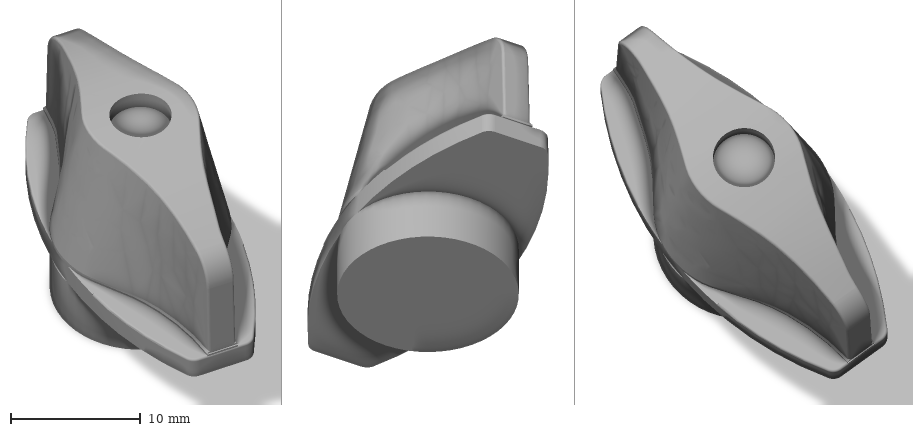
import cadquery as cq
import math

total_length = 30
total_height = 18.5
half_length = total_length / 2

boss_diameter = 14.0
boss_radius = boss_diameter / 2
boss_height = 4.5

flange_thickness = 1.8
flange_top = boss_height + flange_thickness
flange_half_width = 6.9
flange_end_half_width = 2.55
flange_corner_radius = 1.02
flange_edge_radius = 0.18
flange_square_edge_length = 10.08

plinth_height = 0.18
plinth_top = flange_top + plinth_height
plinth_end_half_width = 1.3
plinth_nose_angle = 39
root_height = 0.18
foot_height = plinth_top + root_height
foot_nose_angle = 40
crown_half_width = 4.4
crown_nose_radius = 5.7
crown_nose_angle = 25.8
blade_end_half_width = 1.15
blade_foot_half_length = 14.9
blade_shoulder_half_length = 14.58
crown_radius = 31.5
shoulder_radius = 3
blade_edge_radius = 0.2
side_steps = 3

recess_diameter = 4.8
recess_depth = 1.5


def blade_section(height, half_width, nose_radius, nose_angle, end_half_width):
    """Closed section at a height: smooth sides with a round nose and hollow flanks."""
    angle = math.radians(nose_angle)
    nose_x = nose_radius * math.sin(angle)
    nose_y = half_width - nose_radius * (1 - math.cos(angle))
    run = half_length - nose_x
    drop = nose_y - end_half_width
    chord_angle = math.atan2(drop, run)
    end_angle = 2 * chord_angle - angle
    flank_radius = math.hypot(run, drop) / (2 * math.sin(angle - chord_angle))

    right_half = []
    for step in range(1, side_steps + 1):
        turn = angle * step / side_steps
        x = nose_radius * math.sin(turn)
        y = half_width - nose_radius * (1 - math.cos(turn))
        right_half.append((x, y))
    for step in range(1, side_steps + 1):
        turn = angle + (end_angle - angle) * step / side_steps
        x = nose_x + flank_radius * (math.sin(angle) - math.sin(turn))
        y = nose_y - flank_radius * (math.cos(turn) - math.cos(angle))
        right_half.append((x, y))

    left_half = [(-x, y) for x, y in reversed(right_half)]
    back_side = left_half + [(0, half_width)] + right_half
    front_side = [(-x, -y) for x, y in back_side]
    slope_x = math.cos(end_angle)
    slope_y = math.sin(end_angle)
    outline = (
        cq.Workplane("XY", origin=(0, 0, height))
        .spline(back_side, tangents=[(slope_x, slope_y), (slope_x, -slope_y)])
        .lineTo(*front_side[0])
        .spline(front_side[1:], tangents=[(-slope_x, -slope_y), (-slope_x, slope_y)], includeCurrent=True)
        .close()
    )
    return outline.wire().val()


def blade_side_profile():
    """Prism along Y with a domed top and rounded shoulders that trims the blade."""
    crown_sag = crown_radius - math.sqrt(crown_radius**2 - blade_shoulder_half_length**2)
    shoulder_height = total_height - crown_sag
    shoulders = cq.selectors.BoxSelector(
        (-half_length, -total_length, foot_height),
        (half_length, total_length, total_height),
    )
    return (
        cq.Workplane("XZ")
        .moveTo(-blade_foot_half_length, plinth_top)
        .lineTo(-blade_shoulder_half_length, shoulder_height)
        .threePointArc((0, total_height), (blade_shoulder_half_length, shoulder_height))
        .lineTo(blade_foot_half_length, plinth_top)
        .close()
        .extrude(boss_diameter, both=True)
        .edges("|Y")
        .edges(shoulders)
        .fillet(shoulder_radius)
    )


def make_grip():
    """Plinth, flared root and blade stacked from three sections."""
    base = blade_section(plinth_top, boss_radius, boss_radius, plinth_nose_angle, plinth_end_half_width)
    foot = blade_section(foot_height, boss_radius, boss_radius, foot_nose_angle, blade_end_half_width)
    crown = blade_section(
        total_height, crown_half_width, crown_nose_radius, crown_nose_angle, blade_end_half_width
    )
    plinth = cq.Workplane(base).toPending().extrude(-plinth_height)
    side_profile = blade_side_profile()
    root = cq.Workplane(cq.Solid.makeLoft([base, foot], True)).intersect(side_profile)
    blade = cq.Workplane(cq.Solid.makeLoft([foot, crown], True)).intersect(side_profile)
    rim = blade.faces("not <Z").filter(lambda face: abs(face.Center().y) < blade_end_half_width)
    blade = rim.edges("not |Y").edges("not <Z").fillet(blade_edge_radius)
    return plinth.union(root).union(blade)


def flange_slab():
    return (
        cq.Workplane("XY", origin=(0, 0, boss_height))
        .moveTo(-half_length, flange_end_half_width)
        .threePointArc((0, flange_half_width), (half_length, flange_end_half_width))
        .lineTo(half_length, -flange_end_half_width)
        .threePointArc((0, -flange_half_width), (-half_length, -flange_end_half_width))
        .close()
        .extrude(flange_thickness)
        .edges("|Z")
        .fillet(flange_corner_radius)
    )


def make_flange():
    square_middle = flange_slab().intersect(
        cq.Workplane("XY").box(flange_square_edge_length, total_length, total_height)
    )
    return flange_slab().faces(">Z").edges().fillet(flange_edge_radius).union(square_middle)


boss = cq.Workplane("XY").circle(boss_radius).extrude(boss_height)
recess = (
    cq.Workplane("XY", origin=(0, 0, total_height - recess_depth))
    .circle(recess_diameter / 2)
    .extrude(2 * recess_depth)
)

result = boss.union(make_flange()).union(make_grip()).cut(recess)